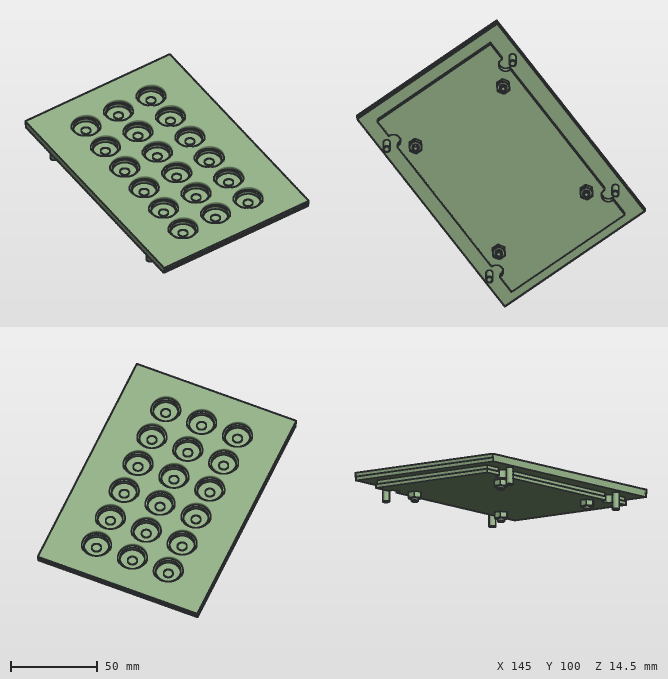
import cadquery as cq
import math

plate_thickness = 2.25
cover_length = 145.0
base_length = 144.0
outer_width = 100.0
spacer_length = 130.0
spacer_width = 80.0
backing_overhang = 0.5
backing_length = spacer_length + 2 * backing_overhang
backing_width = spacer_width + 2 * backing_overhang
total_height = 14.5

base_top = -plate_thickness
spacer_top = base_top - plate_thickness
backing_top = spacer_top - plate_thickness
backing_bottom = backing_top - plate_thickness
lowest_level = -total_height

well_columns = 6
well_rows = 3
well_pitch_x = 20.25
well_pitch_y = 22.5
mouth_diameter = 18.5
mouth_round = 0.7
cover_bore_diameter = mouth_diameter - 2 * mouth_round
base_bore_diameter = 14.5
dimple_diameter = 5.5
dimple_depth = 0.4

pin_diameter = 4.0
pin_chamfer = 0.4
pin_x = 50.1
pin_y = 45.0
relief_diameter = 8.0

nut_flats = 7.0
nut_height = 3.5
nut_chamfer_width = 0.6
nut_chamfer_height = 0.35
nut_x = 40.6
nut_y = 31.3
screw_diameter = 4.0
screw_chamfer = 0.7


def four_places(x, y):
    return [(x, y), (-x, y), (-x, -y), (x, -y)]


def plate(length, width, top):
    """Rectangular plate of the common thickness, hanging down from the given level."""
    bottom = top - plate_thickness
    return cq.Workplane("XY", origin=(0, 0, bottom)).rect(length, width).extrude(plate_thickness)


def cylinders(points, diameter, top, bottom):
    """Vertical cylinders between two levels, one at each point."""
    level = cq.Workplane("XY", origin=(0, 0, bottom))
    return level.pushPoints(points).circle(diameter / 2).extrude(top - bottom)


def make_upper_plates():
    cover = plate(cover_length, outer_width, 0)
    return cover.union(plate(base_length, outer_width, base_top))


def make_lower_plates():
    """Spacer and backing plates with a half-round relief in their long edges at each pin."""
    spacer = plate(spacer_length, spacer_width, spacer_top)
    lower = spacer.union(plate(backing_length, backing_width, backing_top))
    reliefs = cylinders(four_places(pin_x, spacer_width / 2), relief_diameter, spacer_top, backing_bottom)
    return lower.cut(reliefs)


def make_well():
    """Revolved volume of one well, centred on the Z axis."""
    mouth_radius = mouth_diameter / 2
    cover_bore_radius = cover_bore_diameter / 2
    base_bore_radius = base_bore_diameter / 2
    dimple_radius = dimple_diameter / 2
    dimple_floor = spacer_top - dimple_depth
    round_middle = (
        mouth_radius - mouth_round * math.sin(math.pi / 4),
        mouth_round * math.cos(math.pi / 4) - mouth_round,
    )
    profile = (
        cq.Workplane("XZ")
        .lineTo(mouth_radius, 0)
        .threePointArc(round_middle, (cover_bore_radius, -mouth_round))
        .lineTo(cover_bore_radius, base_top)
        .lineTo(base_bore_radius, base_top)
        .lineTo(base_bore_radius, spacer_top)
        .lineTo(dimple_radius, spacer_top)
        .lineTo(dimple_radius, dimple_floor)
        .lineTo(0, dimple_floor)
        .close()
    )
    return profile.revolve(360, (0, 0, 0), (0, 1, 0)).val()


def make_wells():
    well = make_well()
    grid = cq.Workplane("XY").rarray(well_pitch_x, well_pitch_y, well_columns, well_rows)
    return grid.eachpoint(lambda location: well.moved(location), combine=False)


def make_studs(points, diameter, top, chamfer):
    """Round studs reaching down to the lowest level, with chamfered tips."""
    return cylinders(points, diameter, top, lowest_level).faces("<Z").chamfer(chamfer)


def make_nuts(points):
    """Hexagon nuts with corners along Y and the lower corners chamfered off."""
    corner_diameter = nut_flats / math.cos(math.pi / 6)
    nut_bottom = backing_bottom - nut_height
    level = cq.Workplane("XY", origin=(0, 0, nut_bottom)).transformed(rotate=(0, 0, 30))
    hexagon = level.polygon(6, corner_diameter).extrude(nut_height)
    envelope = cylinders([(0, 0)], corner_diameter, backing_bottom, nut_bottom)
    envelope = envelope.faces("<Z").chamfer(nut_chamfer_height, nut_chamfer_width)
    nut = hexagon.intersect(envelope).val()
    places = cq.Workplane("XY").pushPoints(points)
    return places.eachpoint(lambda location: nut.moved(location), combine=False)


pin_points = four_places(pin_x, pin_y)
nut_points = four_places(nut_x, nut_y)

plates = make_upper_plates().union(make_lower_plates()).cut(make_wells())
pins = make_studs(pin_points, pin_diameter, base_top, pin_chamfer)
screws = make_studs(nut_points, screw_diameter, backing_top, screw_chamfer)
result = plates.union(pins).union(screws).union(make_nuts(nut_points))